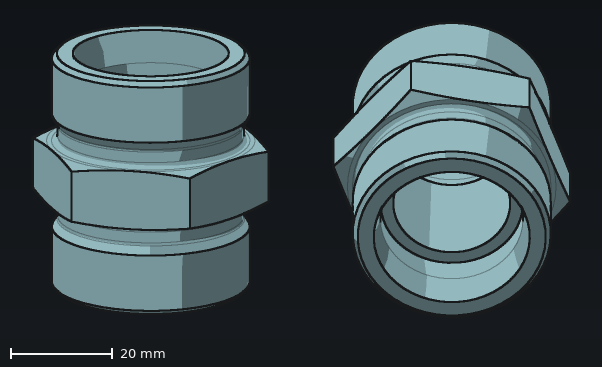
import cadquery as cq
import math

length = 48.0
half_length = length / 2
hex_across_flats = 41.0
hex_across_corners = hex_across_flats / math.cos(math.radians(30))
hex_half_height = 6.0

thread_radius = 39.0 / 2
end_chamfer = 1.0
thread_length = 12.4
neck_radius = 36.7 / 2
runout_angle = 30.0
runout_length = (thread_radius - neck_radius) / math.tan(math.radians(runout_angle))
neck_fillet = 1.15

hex_chamfer_angle = 15.0
hex_face_radius = hex_across_flats / 2

bore_diameter = 23.0
socket_radius = 28.0 / 2
socket_depth = 12.0
mouth_radius = 30.65 / 2
cone_half_angle = 12.0
cone_depth = (mouth_radius - socket_radius) / math.tan(math.radians(cone_half_angle))


def make_end():
    """Upper threaded end with its runout cone, neck and root fillet, from the middle plane up."""
    thread_bottom = half_length - thread_length
    runout_bottom = thread_bottom - runout_length
    blend_tangent = neck_fillet * math.tan(math.radians(runout_angle / 2))
    blend_top_radius = neck_radius + blend_tangent * math.sin(math.radians(runout_angle))
    blend_top = runout_bottom + blend_tangent * math.cos(math.radians(runout_angle))
    return (
        cq.Workplane("XZ")
        .lineTo(neck_radius + neck_fillet, 0)
        .lineTo(neck_radius + neck_fillet, hex_half_height)
        .radiusArc((neck_radius, hex_half_height + neck_fillet), neck_fillet)
        .lineTo(neck_radius, runout_bottom - blend_tangent)
        .radiusArc((blend_top_radius, blend_top), neck_fillet)
        .lineTo(thread_radius, thread_bottom)
        .lineTo(thread_radius, half_length - end_chamfer)
        .lineTo(thread_radius - end_chamfer, half_length)
        .lineTo(0, half_length)
        .close()
        .revolve(360, (0, 0, 0), (0, 1, 0))
    )


def make_hexagon():
    """Hexagon with its corners cut back by a shallow cone on both faces."""
    corner_radius = hex_across_corners / 2
    corner_drop = (corner_radius - hex_face_radius) * math.tan(math.radians(hex_chamfer_angle))
    prism = (
        cq.Workplane("XY")
        .workplane(offset=-hex_half_height)
        .polygon(6, hex_across_corners)
        .extrude(2 * hex_half_height)
        .rotate((0, 0, 0), (0, 0, 1), 30)
    )
    envelope = (
        cq.Workplane("XZ")
        .moveTo(0, -hex_half_height)
        .lineTo(hex_face_radius, -hex_half_height)
        .lineTo(corner_radius, corner_drop - hex_half_height)
        .lineTo(corner_radius, hex_half_height - corner_drop)
        .lineTo(hex_face_radius, hex_half_height)
        .lineTo(0, hex_half_height)
        .close()
        .revolve(360, (0, 0, 0), (0, 1, 0))
    )
    return prism.intersect(envelope)


def make_socket():
    """Tube socket cut into the upper end: sealing cone, then a straight seat."""
    return (
        cq.Workplane("XZ")
        .moveTo(0, half_length)
        .lineTo(mouth_radius, half_length)
        .lineTo(socket_radius, half_length - cone_depth)
        .lineTo(socket_radius, half_length - socket_depth)
        .lineTo(0, half_length - socket_depth)
        .close()
        .revolve(360, (0, 0, 0), (0, 1, 0))
    )


end = make_end()
socket = make_socket()
through_bore = cq.Workplane("XY").circle(bore_diameter / 2).extrude(half_length, both=True)

result = (
    make_hexagon()
    .union(end)
    .union(end.mirror("XY"))
    .cut(through_bore)
    .cut(socket)
    .cut(socket.mirror("XY"))
)